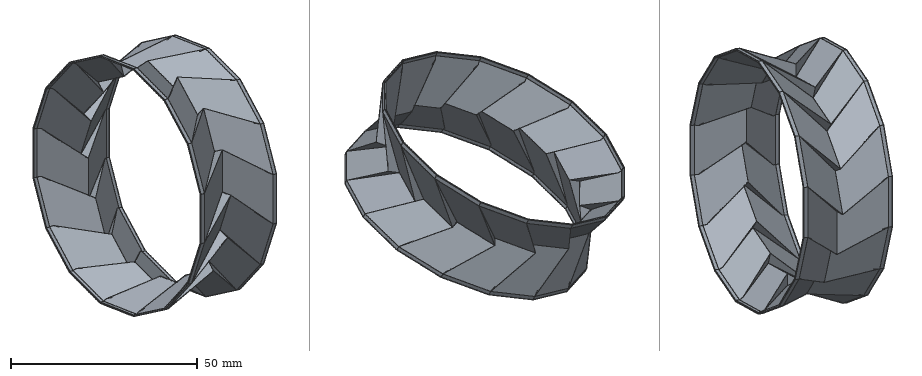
import cadquery as cq
import math

sides = 16
outer_width = 70.4
depth = 26.4
band_depth = 1.2
wall = 0.4
waist_apothem = 28.3
tooth_offset = 2.95

pitch = 2 * math.pi / sides
half_side_ratio = math.tan(pitch / 2)
rim_apothem = outer_width / 2
rim_y = depth / 2
band_y = rim_y - band_depth

panel_lean = math.atan((rim_apothem - waist_apothem) / band_y)
step_lean = math.atan((rim_apothem * half_side_ratio + tooth_offset) / band_y)


def turned_copies(x, y, z):
    """Copy a point of the top panel onto all panels, counter-clockwise about the axis."""
    return [
        (
            x * math.cos(i * pitch) - z * math.sin(i * pitch),
            y,
            x * math.sin(i * pitch) + z * math.cos(i * pitch),
        )
        for i in range(sides)
    ]


def flat_face(points):
    wire = cq.Wire.makePolygon([cq.Vector(*point) for point in points], close=True)
    return cq.Face.makeFromWires(wire)


def faceted_body(inset):
    """Solid 16-sided spool with a saw-toothed waist, every face moved inwards by the inset."""
    end_apothem = rim_apothem - inset
    neck_apothem = waist_apothem - inset / math.cos(panel_lean)
    crease_y = band_y + inset * math.tan(panel_lean / 2)

    step_x = inset / math.cos(step_lean) - tooth_offset
    left_x = (step_x - neck_apothem * math.sin(pitch)) / math.cos(pitch)

    ridge_growth = math.tan(panel_lean) * half_side_ratio
    apex_y = (neck_apothem * half_side_ratio - step_x) / (math.tan(step_lean) - ridge_growth)
    apex_apothem = neck_apothem + apex_y * math.tan(panel_lean)

    faces = []
    for end in (-1, 1):
        rim = turned_copies(end_apothem * half_side_ratio, end * rim_y, end_apothem)
        crease = turned_copies(end_apothem * half_side_ratio, end * crease_y, end_apothem)
        apex = turned_copies(apex_apothem * half_side_ratio, end * apex_y, apex_apothem)
        right = turned_copies(step_x, 0, neck_apothem)
        left = turned_copies(left_x, 0, neck_apothem)
        faces.append(flat_face(rim))
        for i in range(sides):
            following = (i + 1) % sides
            panel = [apex[following], left[i], right[i], apex[i]]
            if inset > 0:
                panel += [crease[i], crease[following]]
            faces.append(flat_face(panel))
            faces.append(flat_face([rim[i], rim[following], crease[following], crease[i]]))
            faces.append(flat_face([apex[following], left[i], right[following]]))
    return cq.Workplane(cq.Solid.makeSolid(cq.Shell.makeShell(faces)))


outer_body = faceted_body(0)
opening = faceted_body(wall)
result = outer_body.cut(opening)